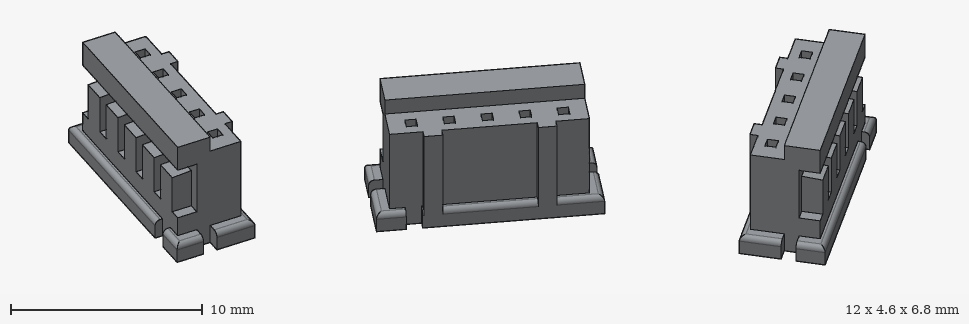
import cadquery as cq


foot_length = 12.0
foot_depth = 4.6
foot_height = 1.1
foot_edge_radius = 0.3
end_overhang = 0.75
long_side_overhang = 0.43

body_length = foot_length - 2 * end_overhang
body_depth = foot_depth - 2 * long_side_overhang
total_height = 6.8
shoulder_height = 5.9
body_front = -body_depth / 2
body_back = body_depth / 2

recess_depth = 1.13
ledge_height = 2.25
head_underside = 5.33
recess_back = body_front + recess_depth

side_gap_width = 0.79
head_back = recess_back + side_gap_width

contact_count = 5
contact_span = 8.0
contact_pitch = contact_span / (contact_count - 1)
contact_positions = [index * contact_pitch - contact_span / 2 for index in range(contact_count)]

finger_width = 1.3
finger_back_height = 4.52
finger_front_height = 4.45

pocket_size = 0.59
pocket_from_back = 1.28
pocket_floor = ledge_height

rib_width = 0.98
rib_positions = [side * (contact_count - 2) * contact_pitch / 2 for side in (-1, 1)]

long_side_gap_width = 0.86


def block(x_range, y_range, z_range):
    """Box given by its lower and upper limit along each axis."""
    sizes = [upper - lower for lower, upper in (x_range, y_range, z_range)]
    corner = (x_range[0], y_range[0], z_range[0])
    return cq.Workplane("XY").box(*sizes, centered=False).translate(corner)


def around(middle, width):
    """Limits of a width spread evenly about a middle position."""
    return (middle - width / 2, middle + width / 2)


def extrude_profile(points, middle, width):
    """Extrude a (Y, Z) outline along X, spread evenly about a middle position."""
    start = middle - width / 2
    return cq.Workplane("YZ", origin=(start, 0, 0)).polyline(points).close().extrude(width)


def make_foot():
    """Flanged foot with rounded top edges and a gap in each of its four sides."""
    foot = cq.Workplane("XY").box(foot_length, foot_depth, foot_height, centered=(True, True, False))
    foot = foot.faces(">Z").edges().fillet(foot_edge_radius)
    full_x = around(0, foot_length)
    full_y = around(0, foot_depth)
    full_z = (0, foot_height)
    end_gaps = block(full_x, (recess_back, head_back), full_z)
    long_side_gaps = block(around(contact_positions[-1], long_side_gap_width), full_y, full_z)
    return foot.cut(end_gaps).cut(long_side_gaps)


def make_body():
    """Stepped body with a full-length recess along its front."""
    profile = [
        (body_front, 0),
        (body_back, 0),
        (body_back, shoulder_height),
        (head_back, shoulder_height),
        (head_back, total_height),
        (body_front, total_height),
        (body_front, head_underside),
        (recess_back, head_underside),
        (recess_back, ledge_height),
        (body_front, ledge_height),
    ]
    return extrude_profile(profile, 0, body_length)


def make_finger(middle):
    """Upright finger filling the recess depth at one contact."""
    profile = [
        (body_front, ledge_height),
        (recess_back, ledge_height),
        (recess_back, finger_back_height),
        (body_front, finger_front_height),
    ]
    return extrude_profile(profile, middle, finger_width)


def make_rib(middle):
    """Rib on the back of the body, flush with the shoulder and the foot's back edge."""
    return block(around(middle, rib_width), (body_back, foot_depth / 2), (0, shoulder_height))


def make_pocket(middle):
    """Square blind pocket sunk from the shoulder at one contact."""
    y_range = around(foot_depth / 2 - pocket_from_back, pocket_size)
    return block(around(middle, pocket_size), y_range, (pocket_floor, shoulder_height))


result = make_foot().union(make_body())
for position in rib_positions:
    result = result.union(make_rib(position))
for position in contact_positions:
    result = result.union(make_finger(position))
for position in contact_positions:
    result = result.cut(make_pocket(position))